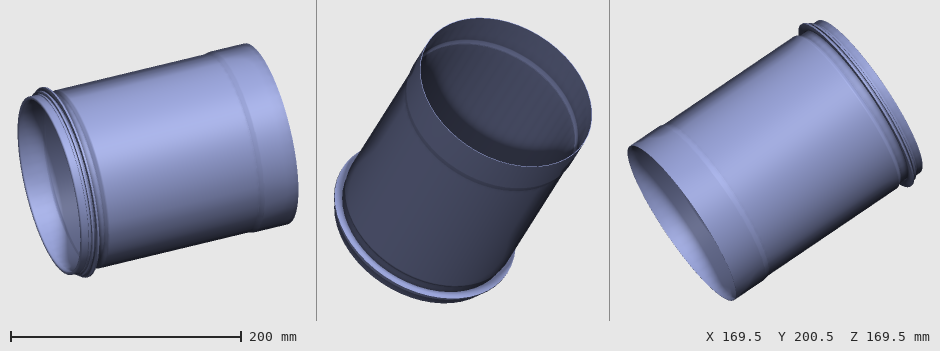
import cadquery as cq

LENGTH = 200.5
WALL = 0.5

NECK_RADIUS = 154.2 / 2
BODY_RADIUS = 159.0 / 2
SOCKET_RADIUS = 161.2 / 2

FOLD_END = 6.6
NECK_CONE_START = 22.3
NECK_CONE_END = 25.7
SOCKET_CONE_START = 164.5
SOCKET_CONE_END = 169.2
NECK_FOOT_BEND_RADIUS = 1.0
NECK_HEAD_BEND_RADIUS = 2.5
SOCKET_BEND_RADIUS = 4.0

BORE_RADIUS = NECK_RADIUS - WALL
FOLD_INNER_RADIUS = BODY_RADIUS - WALL
RIM_ROUND = (BODY_RADIUS - BORE_RADIUS) / 2
RIM_MID_RADIUS = (BODY_RADIUS + BORE_RADIUS) / 2

GASKET_INNER_RADIUS = 155.4 / 2
SMALL_RIB_RADIUS = 160.5 / 2
SMALL_LIP_RADIUS = 164.5 / 2
LARGE_LIP_RADIUS = 169.5 / 2
LIP_THICKNESS = 1.6
RIB_START = 7.2
RIB_END = 8.8
SMALL_LIP_START = 9.6
LARGE_LIP_START = 13.5


def revolve_about_y(profile):
    """Revolve a closed profile drawn in the XY plane (x = radius) about the Y axis."""
    return profile.close().revolve(360, (0, 0, 0), (0, 1, 0))


def round_bend(solid, radius, position, bend_radius):
    """Round the circular edge that has the given radius and Y position."""
    tolerance = 0.02
    edges = [
        edge
        for edge in solid.edges("%CIRCLE").vals()
        if abs(edge.radius() - radius) < tolerance
        and abs(edge.Center().y - position) < tolerance
    ]
    return solid.newObject(edges).fillet(bend_radius)


def make_duct():
    profile = (
        cq.Workplane("XY")
        .moveTo(NECK_RADIUS, RIM_ROUND)
        .lineTo(NECK_RADIUS, NECK_CONE_START)
        .lineTo(BODY_RADIUS, NECK_CONE_END)
        .lineTo(BODY_RADIUS, SOCKET_CONE_START)
        .lineTo(SOCKET_RADIUS, SOCKET_CONE_END)
        .lineTo(SOCKET_RADIUS, LENGTH)
        .lineTo(SOCKET_RADIUS - WALL, LENGTH)
        .lineTo(SOCKET_RADIUS - WALL, SOCKET_CONE_END)
        .lineTo(BODY_RADIUS - WALL, SOCKET_CONE_START)
        .lineTo(BODY_RADIUS - WALL, NECK_CONE_END)
        .lineTo(BORE_RADIUS, NECK_CONE_START)
        .lineTo(BORE_RADIUS, RIM_ROUND)
        .threePointArc((RIM_MID_RADIUS, 0), (BODY_RADIUS, RIM_ROUND))
        .lineTo(BODY_RADIUS, FOLD_END)
        .lineTo(FOLD_INNER_RADIUS, FOLD_END)
        .lineTo(FOLD_INNER_RADIUS, RIM_ROUND)
        .threePointArc((RIM_MID_RADIUS, WALL), (NECK_RADIUS, RIM_ROUND))
    )
    duct = revolve_about_y(profile)

    hollow_bends = [
        (NECK_RADIUS, NECK_CONE_START, NECK_FOOT_BEND_RADIUS),
        (BODY_RADIUS, SOCKET_CONE_START, SOCKET_BEND_RADIUS),
    ]
    crowned_bends = [
        (BODY_RADIUS, NECK_CONE_END, NECK_HEAD_BEND_RADIUS),
        (SOCKET_RADIUS, SOCKET_CONE_END, SOCKET_BEND_RADIUS),
    ]
    for radius, position, bend in hollow_bends:
        duct = round_bend(duct, radius, position, bend)
        duct = round_bend(duct, radius - WALL, position, bend + WALL)
    for radius, position, bend in crowned_bends:
        duct = round_bend(duct, radius, position, bend)
        duct = round_bend(duct, radius - WALL, position, bend - WALL)
    return duct


def gasket_ring(inner_radius, outer_radius, start, end):
    """Plain ring between two Y positions."""
    profile = (
        cq.Workplane("XY")
        .moveTo(inner_radius, start)
        .lineTo(outer_radius, start)
        .lineTo(outer_radius, end)
        .lineTo(inner_radius, end)
    )
    return revolve_about_y(profile)


def make_gasket():
    gasket_end = LARGE_LIP_START + LIP_THICKNESS
    small_lip_end = SMALL_LIP_START + LIP_THICKNESS
    foot = gasket_ring(GASKET_INNER_RADIUS, FOLD_INNER_RADIUS, RIM_ROUND, FOLD_END)
    band = gasket_ring(GASKET_INNER_RADIUS, BODY_RADIUS, FOLD_END, gasket_end)
    rib = gasket_ring(GASKET_INNER_RADIUS, SMALL_RIB_RADIUS, RIB_START, RIB_END)
    small_lip = gasket_ring(GASKET_INNER_RADIUS, SMALL_LIP_RADIUS, SMALL_LIP_START, small_lip_end)
    large_lip = gasket_ring(GASKET_INNER_RADIUS, LARGE_LIP_RADIUS, LARGE_LIP_START, gasket_end)
    return foot.union(band).union(rib).union(small_lip).union(large_lip)


duct = make_duct()
gasket = make_gasket()

result = cq.Compound.makeCompound([duct.val(), gasket.val()]).translate(cq.Vector(0, -LENGTH / 2, 0))